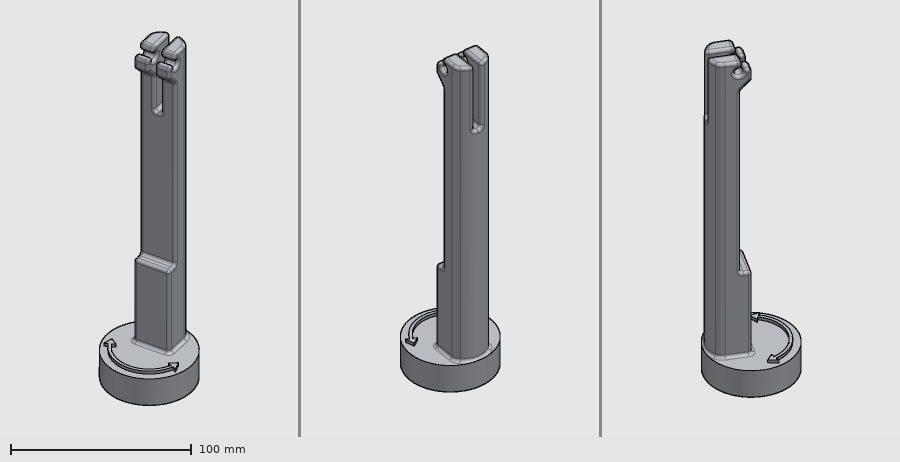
import cadquery as cq
import math

total_height = 217.8
base_diameter = 55.3
base_height = 18.0
edge_round = 2.0

post_width = 23.3
block_front_y = 2.5
shaft_front_y = 9.0
post_back_y = 26.4
back_radius = 14.2
back_corner_round = 6.5

block_top_z = 74.0
hook_face_bottom_z = 204.3
front_slope_z = 208.0

notch_y = 9.5
notch_z = 210.6
notch_diameter = 5.0
throat_width = 3.0

slot_width = 4.4
slot_bottom_z = 173.5

arrow_height = 2.0
arrow_radius = 22.0
arrow_line_width = 2.0
arrow_head_width = 6.8
arrow_tip_angle = 11.0
arrow_head_angle = 23.6

post_half_width = post_width / 2
base_radius = base_diameter / 2
notch_radius = notch_diameter / 2
overcut = 10.9
sharp_angle = math.radians(70)


def make_plan_column():
    """Full-height column with the domed-back cross-section."""
    dome_center_y = post_back_y - back_radius
    shoulder_y = dome_center_y + math.sqrt(back_radius**2 - post_half_width**2)
    back_corners = cq.selectors.BoxSelector(
        (-base_radius, shoulder_y - edge_round, 0),
        (base_radius, shoulder_y + edge_round, total_height),
    )
    return (
        cq.Workplane("XY", origin=(0, 0, base_height))
        .moveTo(-post_half_width, block_front_y)
        .lineTo(post_half_width, block_front_y)
        .lineTo(post_half_width, shoulder_y)
        .threePointArc((0, post_back_y), (-post_half_width, shoulder_y))
        .close()
        .extrude(total_height - base_height)
        .edges("|Z")
        .edges(back_corners)
        .fillet(back_corner_round)
    )


def make_side_slab():
    """Side outline of the post with its step, hook and notch, spread along X."""
    reach_y = post_back_y + overcut
    hook_depth = shaft_front_y - block_front_y
    outline = [
        (reach_y, base_height),
        (block_front_y, base_height),
        (block_front_y, block_top_z),
        (shaft_front_y, block_top_z),
        (shaft_front_y, hook_face_bottom_z - hook_depth),
        (block_front_y, hook_face_bottom_z),
        (block_front_y, block_front_y + front_slope_z),
        (total_height - front_slope_z, total_height),
        (reach_y, total_height),
    ]
    slab = cq.Workplane("YZ").polyline(outline).close().extrude(post_width, both=True)

    notch_plane = cq.Workplane("YZ").center(notch_y, notch_z)
    bore = notch_plane.circle(notch_radius).extrude(post_width, both=True)
    throat = (
        notch_plane
        .transformed(rotate=(0, 0, 45))
        .center(0, overcut / 2)
        .rect(throat_width, overcut)
        .extrude(post_width, both=True)
    )

    front_corners = cq.selectors.BoxSelector(
        (-overcut, 0, base_height + overcut),
        (overcut, notch_y + overcut, total_height + overcut),
    )
    bore_corners = cq.selectors.BoxSelector(
        (-overcut, notch_y - notch_radius, notch_z - notch_radius),
        (overcut, notch_y + notch_radius, notch_z + notch_radius),
    )
    rounded_corners = cq.selectors.SubtractSelector(front_corners, bore_corners)
    return slab.cut(bore).cut(throat).edges("|X").edges(rounded_corners).fillet(edge_round)


def make_slot():
    """Slot through the post along Y, open at the top and rounded at its bottom corners."""
    return (
        cq.Workplane("XY", origin=(0, 0, slot_bottom_z))
        .rect(slot_width, 2 * base_diameter)
        .extrude(total_height)
        .edges("|Y and <Z")
        .fillet(edge_round)
    )


def is_sharp(edge, faces):
    """True where the two faces that share the edge meet steeply."""
    first, second = [face for face in faces if any(edge.isSame(other) for other in face.Edges())]
    middle = edge.positionAt(0.5)
    return first.normalAt(middle).getAngle(second.normalAt(middle)) > sharp_angle


def make_post():
    """Slotted post with every steep edge above the foot rounded."""
    post = make_plan_column().intersect(make_side_slab()).cut(make_slot()).val()
    faces = post.Faces()
    exposed_edges = [
        edge for edge in post.Edges()
        if edge.Center().z > base_height + edge_round and is_sharp(edge, faces)
    ]
    return cq.Workplane(post.fillet(edge_round, exposed_edges))


def make_base_with_post():
    """Round base with the post on it; the foot fillet is trimmed at the rim of the base."""
    plate_size = base_diameter + 2 * overcut
    plate = cq.Workplane("XY").box(plate_size, plate_size, base_height, centered=(True, True, False))
    foot = cq.selectors.BoxSelector(
        (-base_radius, 0, base_height - edge_round / 2),
        (base_radius, base_radius, base_height + edge_round / 2),
    )
    trim = cq.Workplane("XY").circle(base_radius).extrude(total_height)
    return plate.union(make_post()).edges(foot).fillet(edge_round).intersect(trim)


def arrow_point(radius, angle):
    """Point on the base at an angle below the +X axis."""
    return (radius * math.cos(math.radians(angle)), -radius * math.sin(math.radians(angle)))


def make_arrow():
    """Curved double-headed arrow around the front of the base."""
    inner_radius = arrow_radius - arrow_line_width / 2
    outer_radius = arrow_radius + arrow_line_width / 2
    head_inner_radius = arrow_radius - arrow_head_width / 2
    head_outer_radius = arrow_radius + arrow_head_width / 2
    right_back = arrow_head_angle
    left_back = 180 - arrow_head_angle
    return (
        cq.Workplane("XY", origin=(0, 0, base_height))
        .moveTo(*arrow_point(arrow_radius, arrow_tip_angle))
        .lineTo(*arrow_point(head_outer_radius, right_back))
        .lineTo(*arrow_point(outer_radius, right_back))
        .threePointArc((0, -outer_radius), arrow_point(outer_radius, left_back))
        .lineTo(*arrow_point(head_outer_radius, left_back))
        .lineTo(*arrow_point(arrow_radius, 180 - arrow_tip_angle))
        .lineTo(*arrow_point(head_inner_radius, left_back))
        .lineTo(*arrow_point(inner_radius, left_back))
        .threePointArc((0, -inner_radius), arrow_point(inner_radius, right_back))
        .lineTo(*arrow_point(head_inner_radius, right_back))
        .close()
        .extrude(arrow_height)
    )


result = make_base_with_post().union(make_arrow())